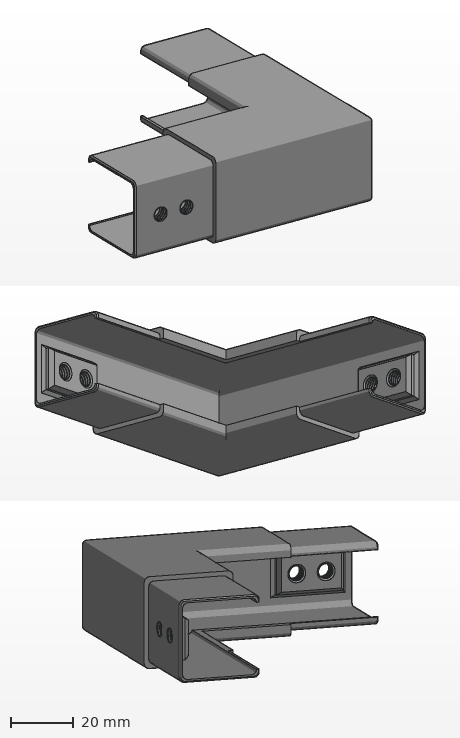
import cadquery as cq


overall_length = 90.0
edge_radius = 1.8

sleeve_size = overall_length / 3
sleeve_length = 2 * sleeve_size

spigot_size = 27.0
spigot_end_chamfer = 0.45
wall = 1.0

bore_size = spigot_size - 2 * wall
slot_width = 22.0

pad_length = 25.0
pad_width = 16.2
pad_inset = 1.2
pad_base_height = 1.0
pad_step_height = 1.1
pad_top_height = 1.5
pad_center_from_end = 14.85

hole_diameter = 4.9
hole_spacing = 9.9
thread_diameter = 6.0
thread_pitch = 1.0
groove_width = 0.7

outer_face = sleeve_size / 2
arm_end = overall_length - outer_face
sleeve_end = sleeve_length - outer_face
bore_face = bore_size / 2

pad_straight_height = pad_base_height + pad_step_height


def rounded_square(size):
    return cq.Sketch().rect(size, size).vertices().fillet(edge_radius)


def elbow(size, reach):
    """Mitred L-shaped bar of rounded square section, both arms ending at the same reach."""
    path = cq.Workplane("XY").polyline([(-reach, 0), (0, 0), (0, -reach)])
    section = cq.Workplane("YZ", origin=(-reach, 0, 0)).placeSketch(rounded_square(size))
    return section.sweep(path, transition="right")


def tapered_block(length, width, inset, height):
    """Block along +Z whose top is smaller than its base by the inset on every side."""
    return (
        cq.Workplane("XY")
        .rect(length, width)
        .workplane(offset=height)
        .rect(length - 2 * inset, width - 2 * inset)
        .loft(ruled=True)
    )


def screw_pad():
    """Stepped pad standing on the XY plane, long side along X."""
    step_length = pad_length - 2 * pad_inset
    step_width = pad_width - 2 * pad_inset
    base = tapered_block(pad_length, pad_width, pad_inset, pad_base_height)
    step = cq.Workplane("XY").box(
        step_length, step_width, pad_straight_height, centered=(True, True, False)
    )
    top = tapered_block(step_length, step_width, pad_inset, pad_top_height)
    return base.union(step).union(top.translate((0, 0, pad_straight_height)))


def tapped_holes():
    """Two through-hole cutters with evenly spaced V-grooves as thread; Z = 0 is the bore wall."""
    minor_radius = hole_diameter / 2
    major_radius = thread_diameter / 2
    mouth = pad_straight_height + pad_top_height
    depth = mouth + outer_face - bore_face

    profile = cq.Workplane("XZ").moveTo(0, mouth).lineTo(major_radius, mouth)
    profile = profile.lineTo(minor_radius, mouth - groove_width / 2)
    for groove in range(1, int(depth / thread_pitch)):
        root = mouth - groove * thread_pitch
        profile = profile.lineTo(minor_radius, root + groove_width / 2)
        profile = profile.lineTo(major_radius, root)
        profile = profile.lineTo(minor_radius, root - groove_width / 2)
    profile = profile.lineTo(minor_radius, mouth - depth).lineTo(0, mouth - depth).close()
    hole = profile.revolve(360, (0, 0, 0), (0, 1, 0))

    return hole.translate((-hole_spacing / 2, 0, 0)).union(hole.translate((hole_spacing / 2, 0, 0)))


def place_on_arms(feature):
    """Copies of a feature on the outer bore wall of the -X arm and of the -Y arm."""
    on_x_arm = feature.rotate((0, 0, 0), (1, 0, 0), 90)
    on_x_arm = on_x_arm.translate((pad_center_from_end - arm_end, bore_face, 0))
    on_y_arm = on_x_arm.rotate((0, 0, 0), (1, 1, 0), 180)
    return on_x_arm, on_y_arm


spigots = elbow(spigot_size, arm_end)
spigots = spigots.faces("<X or <Y").edges().chamfer(spigot_end_chamfer)
sleeve = elbow(sleeve_size, sleeve_end)

slot = cq.Workplane("XY").box(arm_end, arm_end, slot_width).translate((-arm_end / 2, -arm_end / 2, 0))
result = sleeve.union(spigots).cut(elbow(bore_size, arm_end)).cut(slot)

for pad in place_on_arms(screw_pad()):
    result = result.union(pad)
for holes in place_on_arms(tapped_holes()):
    result = result.cut(holes)